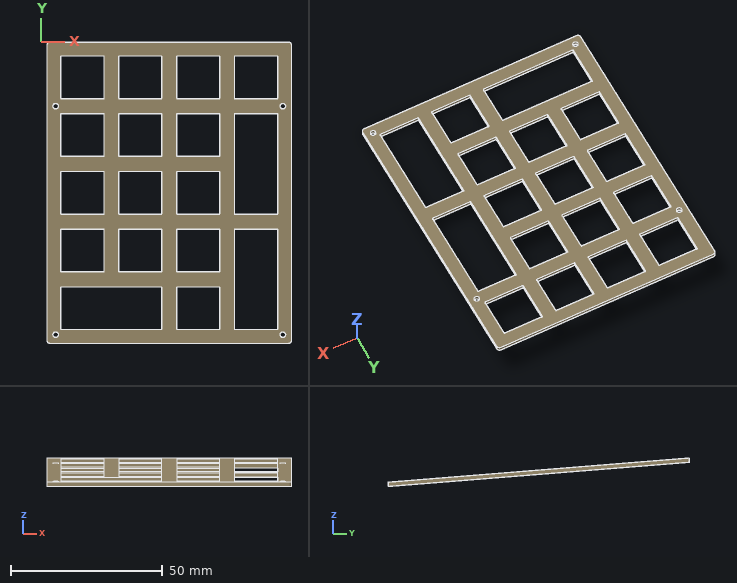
import cadquery as cq
import math

outer_width = 81.0
outer_depth = 99.8
thickness = 1.5
tilt_degrees = 4.6
corner_radius = 1.0

key_pitch = 19.2
key_opening = 14.2
columns = 4
rows = 5

screw_diameter = 1.8
screw_edge_inset = 2.9

tilt = math.radians(tilt_degrees)
plate_length = (outer_depth - thickness * math.sin(tilt)) / math.cos(tilt)

wide_key = (0, 0, 2, 1)
tall_keys = [(3, 0, 1, 2), (3, 2, 1, 2)]
single_keys = [(column, row, 1, 1) for row in range(1, rows) for column in range(columns - 1)]
single_keys += [(2, 0, 1, 1), (3, 4, 1, 1)]
keys = single_keys + tall_keys + [wide_key]


def grid_position(index, count):
    """Centre of a grid cell, measured from the middle of the plate."""
    return (index - (count - 1) / 2) * key_pitch


def key_cutter(column, row, column_span, row_span):
    """Block that cuts one key opening straight through the plate."""
    x = grid_position(column + (column_span - 1) / 2, columns)
    y = grid_position(row + (row_span - 1) / 2, rows)
    width = (column_span - 1) * key_pitch + key_opening
    length = (row_span - 1) * key_pitch + key_opening
    return cq.Workplane("XY").box(width, length, 2 * thickness).translate((x, y, 0))


plate = cq.Workplane("XY").box(outer_width, plate_length, thickness)
plate = plate.edges("|Z").fillet(corner_radius)

for key in keys:
    plate = plate.cut(key_cutter(*key))

screw_x = outer_width / 2 - screw_edge_inset
front_screw_y = screw_edge_inset - plate_length / 2
rear_screw_y = grid_position(rows - 1.5, rows)
screw_points = [(x, y) for x in (-screw_x, screw_x) for y in (front_screw_y, rear_screw_y)]
plate = plate.faces(">Z").workplane(origin=(0, 0, 0)).pushPoints(screw_points).hole(screw_diameter)

result = plate.rotate((0, 0, 0), (1, 0, 0), tilt_degrees)